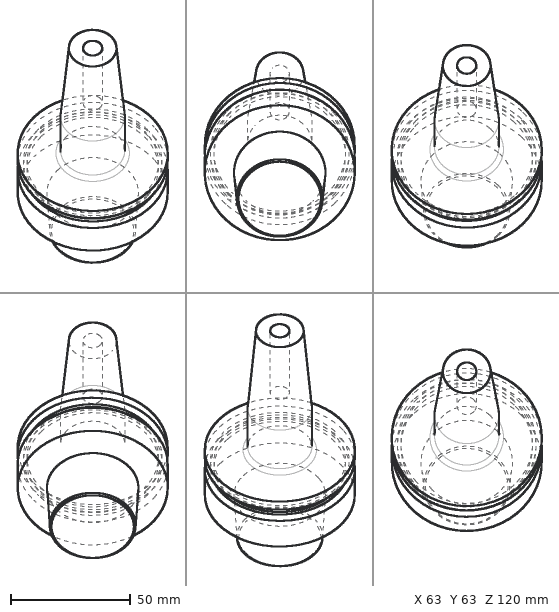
import cadquery as cq
import math

total_height = 120.0
shank_height = 25.0
flange_height = 26.0
neck_height = 24.2
flange_bottom = shank_height
flange_top = flange_bottom + flange_height
cone_bottom = flange_top + neck_height

flange_diameter = 63.0
groove_diameter = 55.2
shank_tip_diameter = 36.0
shank_root_diameter = 38.4
neck_diameter = 27.0
nose_diameter = 20.0
bore_diameter = 8.0

upper_rim_height = 4.7
groove_floor_height = 3.7
groove_bevel_width = 2.4
groove_bevel_height = groove_bevel_width * math.tan(math.radians(30))

shank_chamfer = 0.7
neck_fillet = 1.9
bore_depth = 36.0


def frustum(bottom_diameter, top_diameter, bottom, top):
    """Cone frustum standing on the Z axis between two heights."""
    return (
        cq.Workplane("XY", origin=(0, 0, bottom))
        .circle(bottom_diameter / 2)
        .workplane(offset=top - bottom)
        .circle(top_diameter / 2)
        .loft(ruled=True)
    )


def make_shank():
    shank = frustum(shank_tip_diameter, shank_root_diameter, 0, flange_bottom)
    return shank.faces("<Z").edges().chamfer(shank_chamfer)


def make_flange():
    rim = flange_diameter / 2
    lip = rim - groove_bevel_width
    floor = groove_diameter / 2
    groove_top = flange_top - upper_rim_height
    floor_top = groove_top - groove_bevel_height
    floor_bottom = floor_top - groove_floor_height
    groove_bottom = floor_bottom - groove_bevel_height
    return (
        cq.Workplane("XZ")
        .moveTo(0, flange_bottom)
        .lineTo(rim, flange_bottom)
        .lineTo(rim, groove_bottom)
        .lineTo(lip, floor_bottom)
        .lineTo(floor, floor_bottom)
        .lineTo(floor, floor_top)
        .lineTo(lip, floor_top)
        .lineTo(rim, groove_top)
        .lineTo(rim, flange_top)
        .lineTo(0, flange_top)
        .close()
        .revolve(360, (0, 0, 0), (0, 1, 0))
    )


def make_neck():
    """Cylindrical neck with a concave fillet flaring onto the flange."""
    radius = neck_diameter / 2
    return (
        cq.Workplane("XZ")
        .moveTo(0, flange_top)
        .lineTo(radius + neck_fillet, flange_top)
        .radiusArc((radius, flange_top + neck_fillet), neck_fillet)
        .lineTo(radius, cone_bottom)
        .lineTo(0, cone_bottom)
        .close()
        .revolve(360, (0, 0, 0), (0, 1, 0))
    )


nose = frustum(neck_diameter, nose_diameter, cone_bottom, total_height)
bore = frustum(bore_diameter, bore_diameter, total_height - bore_depth, total_height)

result = make_shank().union(make_flange()).union(make_neck()).union(nose).cut(bore)